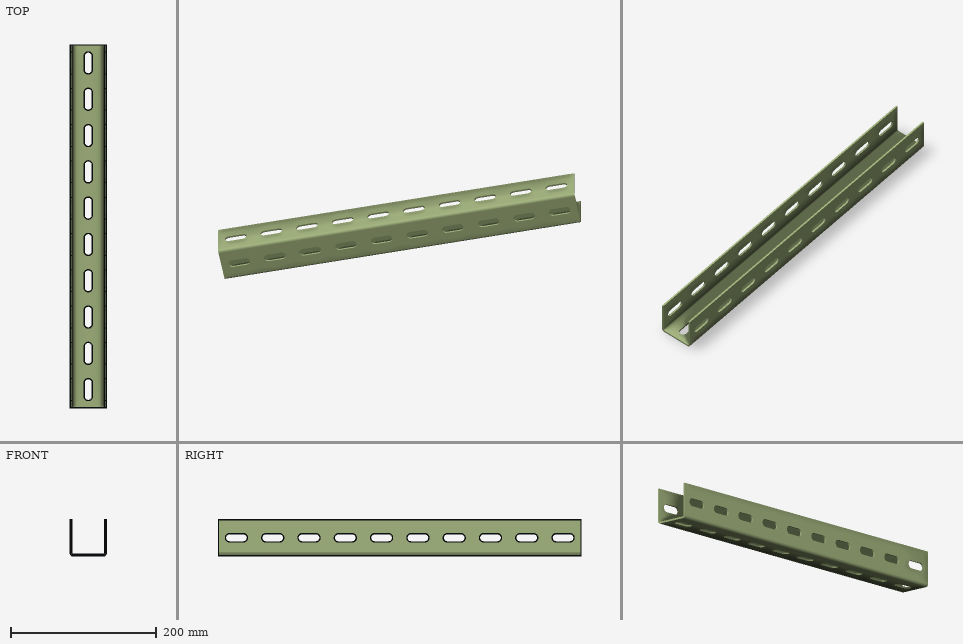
import cadquery as cq

length = 500.0
width = 50.0
height = 50.0
wall = 2.5
outer_bend_radius = 4.0
inner_bend_radius = outer_bend_radius - wall

slot_count = 10
slot_pitch = length / slot_count
slot_length = 30.0
slot_width = 11.0
slot_axis_angle = 90


def rounded_bar(bar_width, base_height, bend_radius):
    """Bar along Y, standing on base_height, with its two lower long edges rounded."""
    return (
        cq.Workplane("XY", origin=(0, 0, base_height))
        .box(bar_width, length, height, centered=(True, True, False))
        .edges("|Y and <Z")
        .fillet(bend_radius)
    )


def bent_channel():
    """U-shaped channel centred on X and Y, with its base on Z = 0."""
    outside = rounded_bar(width, 0, outer_bend_radius)
    inside = rounded_bar(width - 2 * wall, wall, inner_bend_radius)
    return outside.cut(inside)


def slot_row(plane):
    """Row of slot cutters along Y, reaching through the part to both sides of the plane."""
    return (
        cq.Workplane(plane)
        .rarray(5, slot_pitch, 1, slot_count)
        .slot2D(slot_length, slot_width, slot_axis_angle)
        .extrude(width, both=True)
    )


base_plane = cq.Plane(origin=(0, 0, 0), xDir=(1, 0, 0), normal=(0, 0, 1))
side_plane = cq.Plane(origin=(0, 0, height / 2), xDir=(0, 0, -1), normal=(1, 0, 0))

result = bent_channel().cut(slot_row(base_plane)).cut(slot_row(side_plane))